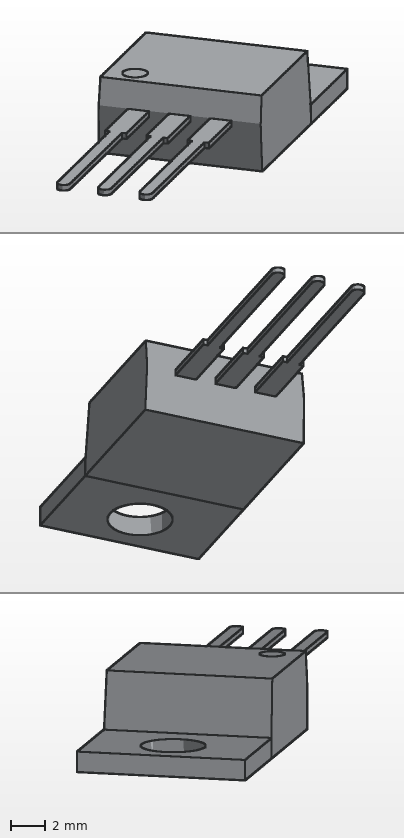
import cadquery as cq


total_length = 29.35
width = 10.15
height = 4.7

lead_count = 3
lead_pitch = 2.55
lead_length = 13.85
lead_shoulder_length = 4.08
lead_shoulder_width = 1.32
lead_width = 0.8
lead_thickness = 0.35
lead_bottom = 2.65
lead_top = lead_bottom + lead_thickness

housing_length = 8.92
front_top_inset = 0.23
front_bottom_inset = 0.15
back_top_inset = 0.45
side_top_inset = 0.073

tab_thickness = 1.23
tab_end = total_length - lead_length
tab_length = tab_end - housing_length
tab_hole_diameter = 3.8
tab_hole_to_end = 3.02

marker_diameter = 1.5
marker_depth = 0.1
marker_x = -3.3
marker_y = 1.53


def make_marker():
    """Disc inlaid flush with the top of the housing."""
    return (
        cq.Workplane("XY", origin=(marker_x, marker_y, height - marker_depth))
        .circle(marker_diameter / 2)
        .extrude(marker_depth)
    )


def make_housing(marker):
    """Moulded block with drafted faces and a recess for the marker."""
    side_profile = (
        cq.Workplane("YZ")
        .polyline([
            (front_bottom_inset, 0),
            (housing_length, 0),
            (housing_length, tab_thickness),
            (housing_length - back_top_inset, height),
            (front_top_inset, height),
            (0, lead_top),
            (0, lead_bottom),
        ])
        .close()
        .extrude(width / 2, both=True)
    )
    top_half_width = width / 2 - side_top_inset
    drafted_sides = (
        cq.Workplane("XZ")
        .polyline([
            (-width / 2, 0),
            (width / 2, 0),
            (top_half_width, height),
            (-top_half_width, height),
        ])
        .close()
        .extrude(-housing_length)
    )
    return side_profile.intersect(drafted_sides).cut(marker)


def make_tab():
    """Flat plate behind the housing with a mounting hole."""
    plate = (
        cq.Workplane("XY")
        .box(width, tab_length, tab_thickness, centered=(True, False, False))
        .translate((0, housing_length, 0))
    )
    hole = (
        cq.Workplane("XY")
        .center(0, tab_end - tab_hole_to_end)
        .circle(tab_hole_diameter / 2)
        .extrude(tab_thickness)
    )
    return plate.cut(hole)


def make_lead(x):
    """Flat lead with a wide shoulder at the housing and a fully rounded tip."""
    shoulder = cq.Workplane("XY").box(
        lead_shoulder_width, lead_shoulder_length, lead_thickness, centered=(True, False, False)
    ).translate((0, -lead_shoulder_length, 0))
    tip_radius = lead_width / 2
    blade = (
        cq.Workplane("XY")
        .moveTo(-tip_radius, 0)
        .lineTo(-tip_radius, tip_radius - lead_length)
        .threePointArc((0, -lead_length), (tip_radius, tip_radius - lead_length))
        .lineTo(tip_radius, 0)
        .close()
        .extrude(lead_thickness)
    )
    return shoulder.union(blade).translate((x, 0, lead_bottom))


marker = make_marker()
housing = make_housing(marker)
tab = make_tab()
leads = []
for index in range(lead_count):
    lead_x = (index - (lead_count - 1) / 2) * lead_pitch
    leads.append(make_lead(lead_x))

result = cq.Compound.makeCompound([
    housing.val(),
    tab.val(),
    marker.val(),
    *[lead.val() for lead in leads],
])